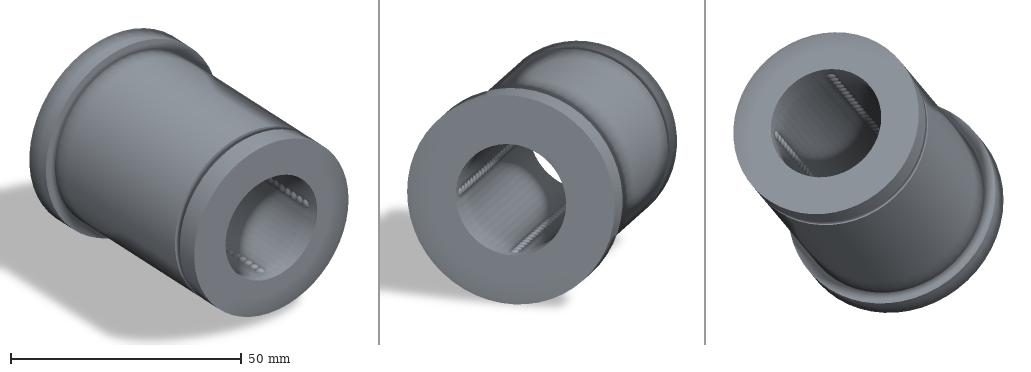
import cadquery as cq

length = 56.0
flange_diameter = 47.0
flange_thickness = 6.0
body_diameter = 42.0
bore_diameter = 25.0

groove_diameter = 39.6
groove_width = 1.75
groove_end_land = 5.2

row_count = 4
balls_per_row = 24
ball_diameter = 2.45
ball_pitch = 2.1
ball_protrusion = 0.55
first_ball = 2.95


def cylinder(diameter, start, thickness):
    """Solid cylinder on the X axis, running from start toward +X."""
    return cq.Workplane("YZ", origin=(start, 0, 0)).circle(diameter / 2).extrude(thickness)


def make_sleeve():
    """Flanged, bored sleeve with the ring groove cut into its outside."""
    groove_start = length - groove_end_land - groove_width
    groove = cylinder(body_diameter, groove_start, groove_width).cut(
        cylinder(groove_diameter, groove_start, groove_width)
    )
    return (
        cylinder(flange_diameter, 0, flange_thickness)
        .union(cylinder(body_diameter, 0, length))
        .cut(groove)
        .cut(cylinder(bore_diameter, 0, length))
    )


def make_ball_row():
    """Row of balls along the +Y side of the bore."""
    center_radius = bore_diameter / 2 - ball_protrusion + ball_diameter / 2
    centers = [(first_ball + index * ball_pitch, center_radius) for index in range(balls_per_row)]
    return cq.Workplane("XY").pushPoints(centers).sphere(ball_diameter / 2)


sleeve = make_sleeve()
ball_row = make_ball_row()
for row in range(row_count):
    row_angle = row * 360 / row_count
    sleeve = sleeve.union(ball_row.rotate((0, 0, 0), (1, 0, 0), row_angle))

result = sleeve